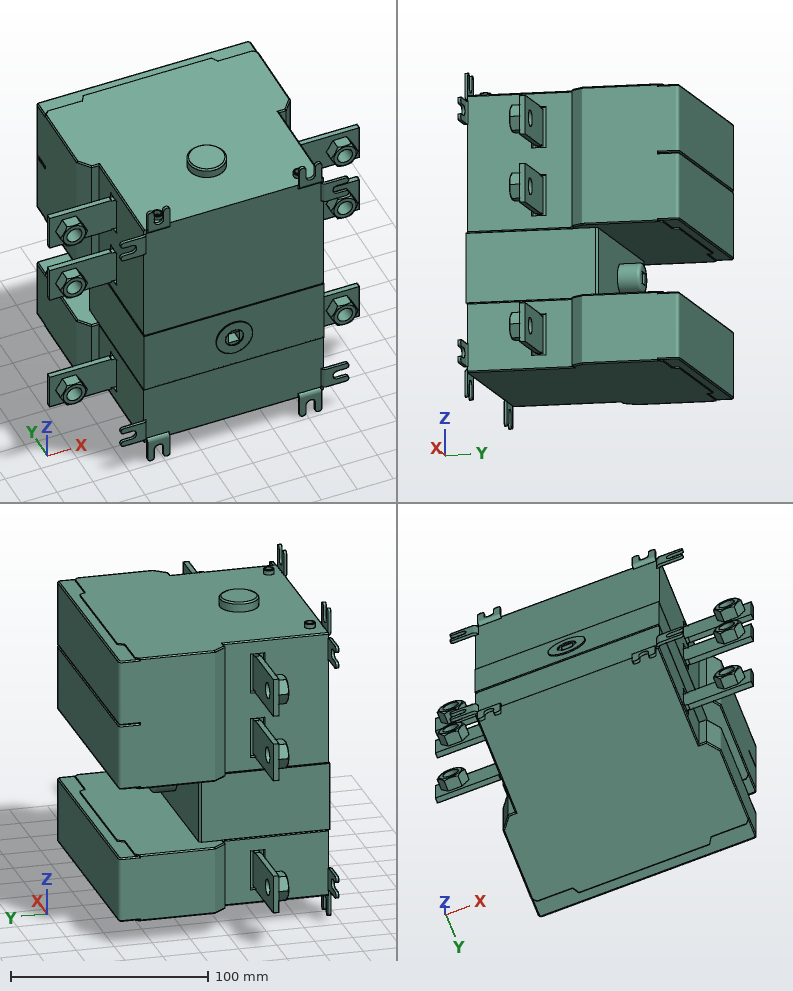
import cadquery as cq
import math


overall_width = 172.0
overall_height = 167.0
mechanism_height = 36.0
single_pole_height = 36.0
double_pole_height = 71.0

body_half_width = 50.0
wing_half_width = 59.3
body_depth = 112.8
wing_front = 55.5
bevel_width = 5.3
bevel_depth = 6.7
edge_break = 0.7
back_corner_radius = 1.7

cover_side_seam = 103.9
cover_middle_seam = 107.3
cover_step_outer = 37.7
cover_step_inner = 35.6
cover_seam_corner = 2.4
cover_recess = 0.7

mechanism_front = -0.7
mechanism_back = 68.1
mechanism_corner = 1.2
collar_diameter = 20.1
collar_height = 0.7
socket_diameter = 10.0
socket_depth = 0.7
shaft_square = 6.0
back_boss_diameter = 15.8
back_boss_length = 11.9
back_boss_fillet = 1.7

terminal_spacing = 35.1
terminal_back = 39.0
terminal_thickness = 3.0
terminal_height = 20.0
terminal_neck_height = 19.0
terminal_neck_length = 1.5
terminal_pocket_y = 37.3
terminal_pocket_height = 21.2
terminal_pocket_thickness = 7.4
terminal_pocket_depth = 2.5
bolt_inset = 10.8
bolt_hole = 8.3
nut_flats = 13.0
nut_height = 6.5
nut_face_diameter = 12.4
nut_chamfer_angle = 30.0

tab_front = -1.7
tab_thickness = 1.5
tab_foot_depth = 1.0
tab_bend_radius = 2.5
tab_slot_width = 5.2
end_tab_width = 12.4
end_tab_slot_depth = 9.3
end_tab_x = 42.1
side_tab_width = 11.9
side_tab_slot_depth = 8.8
side_tab_length = 15.0
side_tab_foot_x = 48.3
side_tab_drop = 9.0

button_diameter = 20.1
button_height = 5.2
button_chamfer = 0.9
button_y = 33.4
pin_diameter = 5.5
pin_bore = 3.8
pin_height = 2.5
pin_chamfer = 0.3
pin_x = 39.2
pin_y = 6.9

upper_bottom = mechanism_height / 2
upper_top = upper_bottom + double_pole_height
lower_top = -mechanism_height / 2
lower_bottom = lower_top - single_pole_height
tab_overhang = (overall_height - (upper_top - lower_bottom)) / 2
end_tab_inset = tab_bend_radius
end_tab_length = tab_overhang + end_tab_inset

upper_terminal_middle = (upper_bottom + upper_top) / 2
terminal_levels = [
    upper_terminal_middle + terminal_spacing / 2,
    upper_terminal_middle - terminal_spacing / 2,
    (lower_bottom + lower_top) / 2,
]
SIDES = (-1, 1)


def mirrored_outline(half_points):
    """Close a right-hand half outline with its mirror image about x = 0."""
    left_half = [(-x, y) for x, y in reversed(half_points)]
    return half_points + left_half


def prism(points, bottom, top):
    return cq.Workplane("XY", origin=(0, 0, bottom)).polyline(points).close().extrude(top - bottom)


def housing_blank(bottom, top):
    """Stepped housing with rounded upright edges; its end edges are broken except along the front."""
    outline = mirrored_outline([
        (body_half_width, 0),
        (body_half_width, wing_front),
        (wing_half_width - bevel_width, wing_front),
        (wing_half_width, wing_front + bevel_depth),
        (wing_half_width, body_depth),
    ])
    blank = prism(outline, bottom, top)
    blank = blank.edges("|Z and >Y").fillet(back_corner_radius)
    bevel_ends = cq.selectors.BoxSelector(
        (-overall_width, wing_front + edge_break, bottom),
        (overall_width, wing_front + bevel_depth + edge_break, top),
    )
    blank = blank.edges("|Z").edges(bevel_ends).fillet(edge_break)
    return blank.faces("<Z or >Z").edges("not <Y").chamfer(edge_break)


def cover_zone(bottom, top):
    """Space behind the stepped seam between housing and back cover."""
    outline = mirrored_outline([
        (cover_step_inner, cover_middle_seam),
        (cover_step_outer, cover_side_seam),
        (wing_half_width - cover_seam_corner, cover_side_seam),
        (wing_half_width, cover_side_seam - cover_seam_corner),
        (wing_half_width, body_depth),
    ])
    return prism(outline, bottom, top)


def housing(bottom, top, pole_count):
    """Pole housing with one back cover per pole, set back from both ends; covers meet in a V-groove."""
    shape = housing_blank(bottom, top).cut(cover_zone(bottom, top))
    pole_height = (top - bottom) / pole_count
    for pole in range(pole_count):
        pole_bottom = bottom + pole * pole_height
        cover_bottom = max(pole_bottom, bottom + cover_recess)
        cover_top = min(pole_bottom + pole_height, top - cover_recess)
        cover = housing_blank(cover_bottom, cover_top).intersect(cover_zone(cover_bottom, cover_top))
        shape = shape.union(cover)
    return shape


def front_cylinder(diameter, front, length):
    """Cylinder on the shaft axis, running backwards from y = front."""
    return cq.Workplane("XZ", origin=(0, front, 0)).circle(diameter / 2).extrude(-length)


def mechanism():
    depth = mechanism_back - mechanism_front
    block = cq.Workplane("XY").box(2 * body_half_width, depth, mechanism_height)
    block = block.translate((0, mechanism_front + depth / 2, 0))
    block = block.edges("|Z and >Y").chamfer(mechanism_corner)
    collar_front = mechanism_front - collar_height
    collar = front_cylinder(collar_diameter, collar_front, 2 * collar_height)
    boss = front_cylinder(back_boss_diameter, mechanism_back - 1.7, back_boss_length + 1.7)
    boss = boss.faces(">Y").edges().fillet(back_boss_fillet)
    socket = front_cylinder(socket_diameter, collar_front, socket_depth)
    square_bore = cq.Workplane("XY").box(shaft_square, 4 * body_depth, shaft_square)
    return block.union(collar).union(boss).cut(socket).cut(square_bore)


def nut():
    """Hexagon nut with its chamfered face at y = -nut_height and its seat at y = 0."""
    corner_diameter = nut_flats / math.cos(math.radians(30))
    chamfer_radial = (corner_diameter - nut_face_diameter) / 2
    chamfer_axial = chamfer_radial * math.tan(math.radians(nut_chamfer_angle))
    hexagon = cq.Workplane("XZ").polygon(6, corner_diameter).extrude(nut_height)
    envelope = cq.Workplane("XZ").circle(corner_diameter / 2).extrude(nut_height)
    envelope = envelope.faces("<Y").edges().chamfer(chamfer_axial, chamfer_radial)
    return hexagon.intersect(envelope)


def terminal_pocket(side, level):
    pocket = cq.Workplane("XY").box(
        2 * terminal_pocket_depth, terminal_pocket_thickness, terminal_pocket_height
    )
    return pocket.translate((side * body_half_width, terminal_pocket_y, level))


def terminal(side, level):
    """Flat terminal bar with a narrower neck at the housing and a nut on its front."""
    outer_end = overall_width / 2
    shoulder = body_half_width + terminal_neck_length
    neck_end = body_half_width - 2 * terminal_pocket_depth
    bolt_x = outer_end - bolt_inset
    front = terminal_back - terminal_thickness
    bar = cq.Workplane("XY").box(outer_end - shoulder, terminal_thickness, terminal_height)
    bar = bar.translate(((outer_end + shoulder) / 2, front + terminal_thickness / 2, 0))
    neck = cq.Workplane("XY").box(shoulder - neck_end, terminal_thickness, terminal_neck_height)
    neck = neck.translate(((shoulder + neck_end) / 2, front + terminal_thickness / 2, 0))
    bore = front_cylinder(bolt_hole, front - nut_height, nut_height + terminal_thickness)
    shape = bar.union(neck).union(nut().translate((bolt_x, front, 0))).cut(bore.translate((bolt_x, 0, 0)))
    if side < 0:
        shape = shape.mirror("YZ")
    return shape.translate((0, 0, level))


def fork_outline(width, length, slot_depth):
    """Fork with round prong tips and a round slot bottom, seen along Y and thicker than any tab."""
    half_width = width / 2
    slot_radius = tab_slot_width / 2
    tip_radius = (half_width - slot_radius) / 2
    tip_middle = slot_radius + tip_radius
    tip_start = length - tip_radius
    slot_bottom = length - slot_depth
    return (
        cq.Workplane("XZ")
        .moveTo(-half_width, 0)
        .lineTo(half_width, 0)
        .lineTo(half_width, tip_start)
        .threePointArc((tip_middle, length), (slot_radius, tip_start))
        .lineTo(slot_radius, slot_bottom + slot_radius)
        .threePointArc((0, slot_bottom), (-slot_radius, slot_bottom + slot_radius))
        .lineTo(-slot_radius, tip_start)
        .threePointArc((-tip_middle, length), (-half_width, tip_start))
        .close()
        .extrude(tab_foot_depth - tab_front, both=True)
    )


def fork_tab(width, length, slot_depth):
    """Slotted tab pointing to +Z from z = 0, bent at its root into a foot set in the housing."""
    blank_depth = tab_foot_depth - tab_front
    shape = cq.Workplane("XY").box(width, blank_depth, length, centered=(True, False, False))
    inner_corner = cq.Workplane("XY").box(width, blank_depth, length, centered=(True, False, False))
    inner_corner = inner_corner.edges("|X and <Y and <Z").fillet(tab_bend_radius - tab_thickness)
    shape = shape.edges("|X and <Y and <Z").fillet(tab_bend_radius)
    shape = shape.cut(inner_corner.translate((0, tab_thickness, tab_thickness)))
    return shape.intersect(fork_outline(width, length, slot_depth)).translate((0, tab_front, 0))


def end_tab(side, direction):
    tab = fork_tab(end_tab_width, end_tab_length, end_tab_slot_depth)
    tab = tab.translate((side * end_tab_x, 0, upper_top - end_tab_inset))
    if direction < 0:
        tab = tab.mirror("XY", (0, 0, (upper_top + lower_bottom) / 2))
    return tab


def side_tab(side, level):
    tab = fork_tab(side_tab_width, side_tab_length, side_tab_slot_depth)
    tab = tab.rotate((0, 0, 0), (0, 1, 0), side * 90)
    return tab.translate((side * side_tab_foot_x, 0, level))


def top_stud(diameter, height, chamfer, x, y):
    stud = cq.Workplane("XY", origin=(x, y, upper_top)).circle(diameter / 2).extrude(height)
    return stud.faces(">Z").edges().chamfer(chamfer)


def pin_hole(side):
    """Bore of a tubular pin, ending flush with the top of the housing."""
    return cq.Workplane("XY", origin=(side * pin_x, pin_y, upper_top)).circle(pin_bore / 2).extrude(pin_height)


result = housing(upper_bottom, upper_top, 2)
result = result.union(housing(lower_bottom, lower_top, 1))
result = result.union(mechanism())
result = result.union(top_stud(button_diameter, button_height, button_chamfer, 0, button_y))

for side in SIDES:
    result = result.union(top_stud(pin_diameter, pin_height, pin_chamfer, side * pin_x, pin_y))
    result = result.cut(pin_hole(side))
    for level in terminal_levels:
        result = result.cut(terminal_pocket(side, level)).union(terminal(side, level))
    for direction in SIDES:
        result = result.union(end_tab(side, direction))
    for level in (upper_top - side_tab_drop, lower_bottom + side_tab_drop):
        result = result.union(side_tab(side, level))